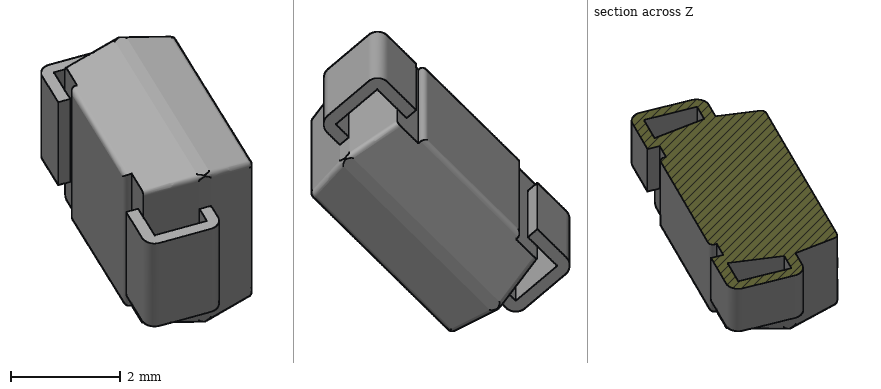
import cadquery as cq
import math

overall_length = 5.3
overall_depth = 2.4

body_length = 4.135
body_height = 3.6
draft_angle = 10.0
body_radius = 0.1
band_top = 1.5
band_width = 0.24
band_bottom = band_top - band_width

pad_length = 2.63
pad_face = 0.1
pad_radius = 0.1

lead_width = 2.035
lead_thickness = 0.23
foot_thickness = 0.24
foot_length = 1.02
bend_radius = 0.245
lead_embed = 0.16
body_underside = foot_thickness


def block(length, height, y_start, y_end):
    """Box centred in X and Z, spanning the given Y range."""
    depth = y_end - y_start
    return cq.Workplane("XY").box(length, depth, height).translate((0, (y_start + y_end) / 2, 0))


def drafted_block(y_wide, y_band, y_narrow):
    """Block narrowing from y_wide to y_narrow, equal to the full body size at y_band."""
    slope = math.tan(math.radians(draft_angle))
    growth = 2 * slope * abs(y_band - y_wide)
    shrink = 2 * slope * abs(y_narrow - y_band)
    return (
        cq.Workplane("XZ", origin=(0, y_wide, 0))
        .rect(body_length + growth, body_height + growth)
        .workplane(offset=y_wide - y_narrow)
        .rect(body_length - shrink, body_height - shrink)
        .loft(ruled=True)
    )


def draft_edges(solid):
    """The four slanted corner edges, which are not parallel to X or Z."""
    return solid.edges("not(|X or |Z)")


def upper_half():
    solid = drafted_block(band_bottom, band_top, overall_depth)
    solid = draft_edges(solid).fillet(body_radius)
    return solid.faces(">Y").edges().fillet(body_radius)


def lower_half():
    """Drafted underside, with the pad left standing between two end steps."""
    full = drafted_block(band_top, band_bottom, pad_face)
    base = draft_edges(full).fillet(body_radius)
    base = base.intersect(block(overall_length, overall_length, body_underside, band_top))
    pad = full.intersect(block(pad_length, overall_length, pad_face, band_bottom))
    pad = pad.faces("<Y").edges().fillet(pad_radius)
    return base.union(pad)


def body():
    """Drafted halves, trimmed to a flat parting band where they overlap."""
    band_middle = (band_top + band_bottom) / 2
    trim = block(body_length, body_height, 0, overall_depth)
    above = block(overall_length, overall_length, band_middle, overall_depth)
    below = block(overall_length, overall_length, 0, band_middle)
    halves = upper_half().intersect(above).union(lower_half().intersect(below))
    return halves.intersect(trim)


def left_lead():
    """C-shaped strip with rounded outer bends and square inner corners."""
    outer_x = -overall_length / 2
    arm_end = -body_length / 2 + lead_embed
    arm_length = arm_end - outer_x
    return (
        cq.Workplane("XY", origin=(outer_x, 0, -lead_width / 2))
        .moveTo(foot_length, 0)
        .lineTo(bend_radius, 0)
        .radiusArc((0, bend_radius), bend_radius)
        .lineTo(0, band_top - bend_radius)
        .radiusArc((bend_radius, band_top), bend_radius)
        .lineTo(arm_length, band_top)
        .lineTo(arm_length, band_top - lead_thickness)
        .lineTo(lead_thickness, band_top - lead_thickness)
        .lineTo(lead_thickness, foot_thickness)
        .lineTo(foot_length, foot_thickness)
        .close()
        .extrude(lead_width)
    )


lead = left_lead()
result = body().union(lead).union(lead.mirror("YZ"))